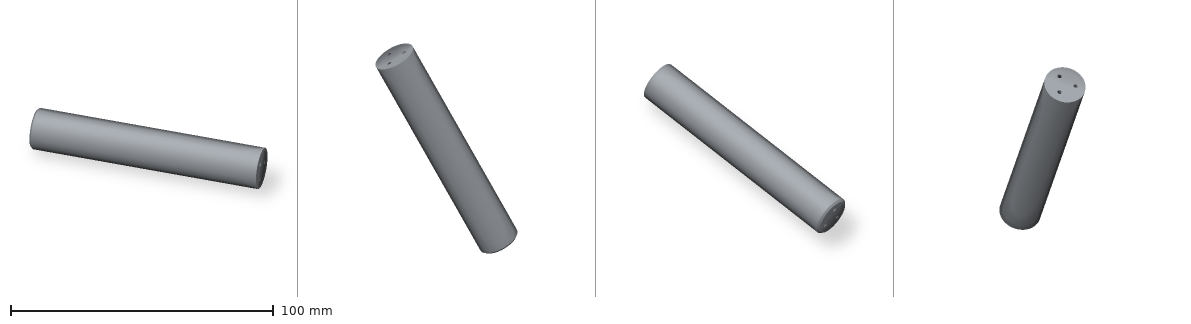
import cadquery as cq

length = 90.0
diameter = 16.0
chamfer_size = 0.8

channel_count = 3
channel_diameter = 1.6
channel_circle_radius = 4.1
first_channel_angle = 108.0
helix_lead = 87.0
twist_angle = 360 * length / helix_lead

end_plane = cq.Workplane("YZ", origin=(-length / 2, 0, 0))


def helical_channels():
    """Cutters for all channels, round in section across the rod axis."""
    sections = end_plane.polarArray(channel_circle_radius, first_channel_angle, 360, channel_count)
    return sections.circle(channel_diameter / 2).twistExtrude(length, twist_angle)


rod = end_plane.circle(diameter / 2).extrude(length)
chamfered_rod = rod.faces("<X").edges().chamfer(chamfer_size)
result = chamfered_rod.cut(helical_channels())